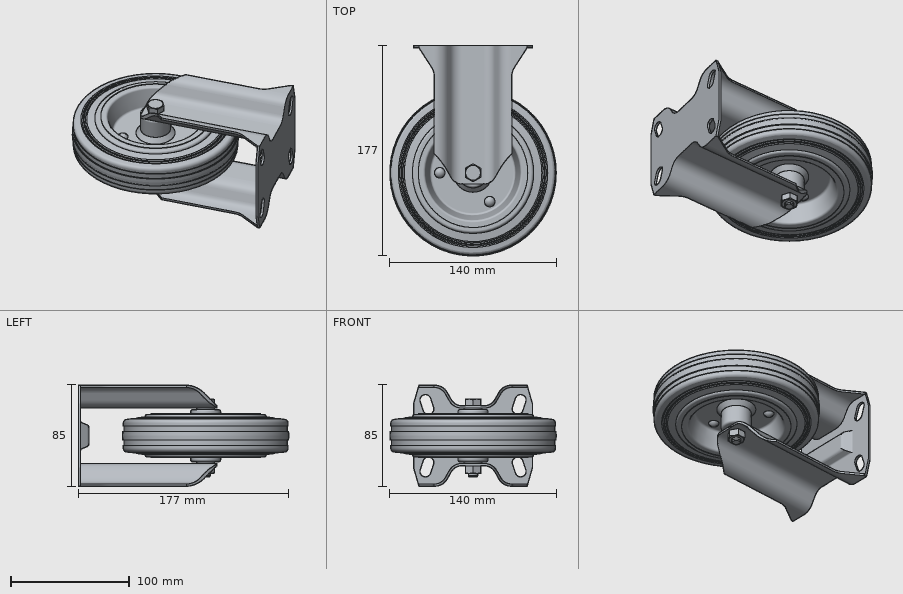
import cadquery as cq
import math


bracket_height = 85.0
sheet = 2.0
plate_width = 100.0
plate_back_y = 107.0
plate_front_y = plate_back_y - sheet
plate_top_half_width = 45.5
plate_corner_z = 27.0

bend_angle = 60.0
inner_bend_radius = 10.0
outer_bend_radius = inner_bend_radius + sheet
web_half_width = 9.5
bend_slope_run = 3.6
bend_slope_rise = bend_slope_run * math.tan(math.radians(bend_angle))

bend_sin = math.sin(math.radians(bend_angle))
bend_drop = 1 - math.cos(math.radians(bend_angle))
leg_outer_z = bracket_height / 2
leg_web_outer_z = leg_outer_z - (inner_bend_radius + outer_bend_radius) * bend_drop - bend_slope_rise
leg_web_inner_z = leg_web_outer_z - sheet

leg_half_width = 32.6
leg_end_y = -9.4
leg_corner_y = 16.0
leg_end_arc_middle = (26.7, 9.3)
flare_end_y = 85.0
flare_radius = 15.0

slot_width = 9.0
slot_outer_center = (40.0, 30.0)
slot_inner_center = (37.5, 22.5)

rib_base = (60.2, 22.8)
rib_top = (49.6, 17.2)
rib_height = 7.0
rib_edge_radius = 3.0
rib_foot_radius = 1.5
foot_margin = 0.1

bolt_diameter = 8.0
bolt_hole_diameter = 8.2
bolt_tip_diameter = 6.65
bolt_tip_length = 1.0
bolt_end_z = -34.6
hex_sides = 6
hex_across_flats = 13.0
hex_chamfer_diameter = 12.5
hex_chamfer_angle = 30.0
head_height = 5.6
nut_height = 6.5

rim_diameter = 92.0
rim_half_width = 18.5
bowl_floor_z = 1.0
bowl_floor_radius = 35.6
bowl_mouth_radius = 40.4
bowl_edge_radius = 2.0
hub_diameter = 25.4
hub_half_length = 22.0
hub_edge_radius = 2.0
hub_cone_base_radius = 16.4
hub_cone_top_z = 5.4
sleeve_diameter = 15.0

rivet_count = 3
rivet_circle_radius = 28.0
rivet_first_angle = 60.0
rivet_radius = 4.4
rivet_height = 3.0

tyre_radius = 70.0
tread_rib_edge_radius = 69.8
tread_rib_half_width = 3.5
tread_groove_radius = 68.8
tread_groove_end_z = 8.3
shoulder_radius = 69.3
shoulder_start_z = 10.6
shoulder_arc_middle = (68.6, 12.6)
sidewall_outer = (67.1, 13.7)
sidewall_inner = (51.0, 15.9)
bead_half_width = 18.0
bead_edge_start_radius = 48.7
side_groove_starts = (57.8, 60.6)
side_groove_width = 2.2
side_groove_depth = 0.5


def trace_bend(profile, offset, start_x, end_x):
    """Continue a profile along the leg surface that lies offset below the outer one, from -X to +X."""
    convex = outer_bend_radius - offset
    concave = inner_bend_radius + offset
    top_z = leg_outer_z - offset
    web_z = leg_web_outer_z - offset
    concave_end_x = web_half_width + inner_bend_radius * bend_sin
    convex_center_x = concave_end_x + bend_slope_run + outer_bend_radius * bend_sin
    half = math.radians(bend_angle / 2)
    full = math.radians(bend_angle)

    def on_convex(angle):
        return convex_center_x - convex * math.sin(angle), top_z - convex * (1 - math.cos(angle))

    def on_concave(angle):
        return web_half_width + concave * math.sin(angle), web_z + concave * (1 - math.cos(angle))

    def left(point):
        return -point[0], point[1]

    profile = profile.lineTo(start_x, top_z).lineTo(-convex_center_x, top_z)
    profile = profile.threePointArc(left(on_convex(half)), left(on_convex(full)))
    profile = profile.lineTo(*left(on_concave(full)))
    profile = profile.threePointArc(left(on_concave(half)), (-web_half_width, web_z))
    profile = profile.lineTo(web_half_width, web_z)
    profile = profile.threePointArc(on_concave(half), on_concave(full))
    profile = profile.lineTo(*on_convex(full))
    profile = profile.threePointArc(on_convex(half), (convex_center_x, top_z))
    return profile.lineTo(end_x, top_z)


def make_leg_outline():
    """Solid over the flat outline of a leg, used to trim the corrugated sheet."""
    bend_end_x = web_half_width + inner_bend_radius * bend_sin
    bend_end_y = leg_end_y + inner_bend_radius * bend_drop
    half = math.radians(bend_angle / 2)
    bend_middle = (
        web_half_width + inner_bend_radius * math.sin(half),
        leg_end_y + inner_bend_radius * (1 - math.cos(half)),
    )
    slope_end = (bend_end_x + bend_slope_run, bend_end_y + bend_slope_rise)
    right_half = (
        cq.Workplane("XY")
        .moveTo(0, leg_end_y)
        .lineTo(web_half_width, leg_end_y)
        .threePointArc(bend_middle, (bend_end_x, bend_end_y))
        .lineTo(*slope_end)
        .threePointArc(leg_end_arc_middle, (leg_half_width, leg_corner_y))
        .lineTo(leg_half_width, flare_end_y)
        .lineTo(plate_top_half_width, plate_front_y)
        .lineTo(plate_top_half_width, plate_back_y)
        .lineTo(0, plate_back_y)
        .close()
        .extrude(bracket_height)
    )
    flare_corner = cq.selectors.NearestToPointSelector((leg_half_width, flare_end_y, leg_outer_z))
    right_half = right_half.edges("|Z").edges(flare_corner).fillet(flare_radius)
    return right_half.union(right_half.mirror("YZ"))


def make_fill_under_surface(offset):
    """Solid between the axle plane and a leg surface lying a distance below the outer surface."""
    reach = plate_top_half_width
    profile = cq.Workplane("XZ", origin=(0, plate_back_y, 0)).moveTo(-reach, 0)
    profile = trace_bend(profile, offset, -reach, reach).lineTo(reach, 0).close()
    return profile.extrude(plate_back_y - leg_end_y)


def make_leg():
    """Upper leg: corrugated sheet trimmed to its outline."""
    corrugated_sheet = make_fill_under_surface(0).cut(make_fill_under_surface(sheet))
    return corrugated_sheet.intersect(make_leg_outline())


def make_plate():
    """Mounting plate whose upper and lower edges follow the legs, with four slanted slots."""
    reach = plate_top_half_width
    profile = cq.Workplane("XZ", origin=(0, plate_back_y, 0)).moveTo(-plate_width / 2, 0)
    profile = profile.lineTo(-plate_width / 2, plate_corner_z)
    profile = trace_bend(profile, 0, -reach, reach)
    profile = profile.lineTo(plate_width / 2, plate_corner_z).lineTo(plate_width / 2, 0).close()
    upper = profile.extrude(sheet)
    plate = upper.union(upper.mirror("XY"))

    run = slot_outer_center[0] - slot_inner_center[0]
    rise = slot_outer_center[1] - slot_inner_center[1]
    slot_length = math.hypot(run, rise) + slot_width
    slot_angle = math.degrees(math.atan2(rise, run))
    slot_x = (slot_outer_center[0] + slot_inner_center[0]) / 2
    slot_z = (slot_outer_center[1] + slot_inner_center[1]) / 2
    for side_x in (-1, 1):
        for side_z in (-1, 1):
            slot = (
                cq.Workplane("XZ", origin=(0, plate_back_y, 0))
                .center(side_x * slot_x, side_z * slot_z)
                .slot2D(slot_length, slot_width, side_x * side_z * slot_angle)
                .extrude(sheet)
            )
            plate = plate.cut(slot)
    return plate


def add_stiffening_rib(plate):
    """Add a rib with sloping sides and a rounded foot on the wheel side of the plate."""
    rib = (
        cq.Workplane("XZ", origin=(0, plate_front_y, 0))
        .rect(*rib_base)
        .workplane(offset=rib_height)
        .rect(*rib_top)
        .loft(combine=True)
        .faces("<Y")
        .edges()
        .fillet(rib_edge_radius)
    )
    half_x = rib_base[0] / 2 + foot_margin
    half_z = rib_base[1] / 2 + foot_margin
    foot_region = cq.selectors.BoxSelector(
        (-half_x, plate_front_y - foot_margin, -half_z),
        (half_x, plate_front_y + foot_margin, half_z),
    )
    return plate.union(rib).edges(foot_region).fillet(rib_foot_radius)


def make_bracket():
    leg = make_leg()
    plate = add_stiffening_rib(make_plate())
    bracket = plate.union(leg).union(leg.mirror("XY"))
    bolt_hole = cq.Workplane("XY").circle(bolt_hole_diameter / 2).extrude(leg_outer_z, both=True)
    return bracket.cut(bolt_hole)


def make_hexagon(height):
    """Hexagon standing on z = 0 with corners on the Y axis and a chamfered top."""
    half_sector = 180 / hex_sides
    across_corners = hex_across_flats / math.cos(math.radians(half_sector))
    hexagon = cq.Workplane("XY").polygon(hex_sides, across_corners).extrude(height)
    hexagon = hexagon.rotate((0, 0, 0), (0, 0, 1), half_sector)
    corner_radius = across_corners / 2
    chamfer_radius = hex_chamfer_diameter / 2
    drop = (corner_radius - chamfer_radius) * math.tan(math.radians(hex_chamfer_angle))
    envelope = (
        cq.Workplane("XZ")
        .polyline([
            (0, 0),
            (corner_radius, 0),
            (corner_radius, height - drop),
            (chamfer_radius, height),
            (0, height),
        ])
        .close()
        .revolve(360, (0, 0), (0, 1))
    )
    return hexagon.intersect(envelope)


def make_bolt():
    """Hexagon-head bolt with a tapered tip, its head on the upper leg."""
    head = make_hexagon(head_height).translate((0, 0, leg_web_outer_z))
    tip_taper = (bolt_diameter - bolt_tip_diameter) / 2
    shank = (
        cq.Workplane("XY", origin=(0, 0, bolt_end_z))
        .circle(bolt_diameter / 2)
        .extrude(leg_web_outer_z - bolt_end_z)
        .faces("<Z")
        .chamfer(bolt_tip_length, tip_taper)
    )
    return head.union(shank)


def make_nut():
    """Hexagon nut under the lower leg."""
    bore = cq.Workplane("XY").circle(bolt_diameter / 2).extrude(nut_height)
    nut = make_hexagon(nut_height).cut(bore)
    return nut.mirror("XY").translate((0, 0, -leg_web_outer_z))


def make_rivet_head():
    """Domed rivet head standing on the upper bowl floor at the wheel axis."""
    sphere_radius = (rivet_radius**2 + rivet_height**2) / (2 * rivet_height)
    sphere_center_z = bowl_floor_z + rivet_height - sphere_radius
    sphere = cq.Workplane("XY").sphere(sphere_radius).translate((0, 0, sphere_center_z))
    above_web = cq.Workplane("XY").circle(rivet_radius).extrude(bowl_floor_z + rivet_height)
    return sphere.intersect(above_web)


def make_wheel_center():
    """Dished wheel centre with hub and axle sleeve, built as the upper half and mirrored."""
    disc = cq.Workplane("XY").circle(rim_diameter / 2).extrude(rim_half_width)
    bowl = (
        cq.Workplane("XZ")
        .polyline([
            (0, bowl_floor_z),
            (bowl_floor_radius, bowl_floor_z),
            (bowl_mouth_radius, rim_half_width),
            (0, rim_half_width),
        ])
        .close()
        .revolve(360, (0, 0), (0, 1))
        .faces("<Z")
        .edges()
        .fillet(bowl_edge_radius)
    )
    mouth_edge = cq.selectors.RadiusNthSelector(0)
    half = disc.cut(bowl).faces(">Z").edges(mouth_edge).fillet(bowl_edge_radius)

    hub = (
        cq.Workplane("XY")
        .circle(hub_diameter / 2)
        .extrude(hub_half_length)
        .faces(">Z")
        .edges()
        .fillet(hub_edge_radius)
    )
    cone = (
        cq.Workplane("XZ")
        .polyline([
            (0, 0),
            (hub_cone_base_radius, 0),
            (hub_cone_base_radius, bowl_floor_z),
            (hub_diameter / 2, hub_cone_top_z),
            (0, hub_cone_top_z),
        ])
        .close()
        .revolve(360, (0, 0), (0, 1))
    )
    sleeve = cq.Workplane("XY").circle(sleeve_diameter / 2).extrude(leg_web_inner_z)
    half = half.union(cone).union(hub).union(sleeve)

    for index in range(rivet_count):
        angle = math.radians(rivet_first_angle + index * 360 / rivet_count)
        place = (rivet_circle_radius * math.cos(angle), rivet_circle_radius * math.sin(angle), 0)
        half = half.union(make_rivet_head().translate(place))

    bore = cq.Workplane("XY").circle(bolt_hole_diameter / 2).extrude(leg_web_inner_z, both=True)
    return half.union(half.mirror("XY")).cut(bore)


def sidewall_z(radius):
    """Height of the sloping tyre sidewall at a radius."""
    slope = (sidewall_outer[1] - sidewall_inner[1]) / (sidewall_outer[0] - sidewall_inner[0])
    return sidewall_inner[1] + slope * (radius - sidewall_inner[0])


def make_tyre():
    """Ribbed tyre around the wheel centre, built as the upper half and mirrored."""
    bead_edge_run = sidewall_inner[0] - bead_edge_start_radius
    bead_edge_drop = bead_half_width - sidewall_inner[1]
    bead_edge_middle = (
        bead_edge_start_radius + bead_edge_run * math.sin(math.pi / 4),
        sidewall_inner[1] + bead_edge_drop * math.cos(math.pi / 4),
    )
    profile = (
        cq.Workplane("XZ")
        .moveTo(rim_diameter / 2, 0)
        .lineTo(rim_diameter / 2, bead_half_width)
        .lineTo(bead_edge_start_radius, bead_half_width)
        .threePointArc(bead_edge_middle, sidewall_inner)
    )
    for start in side_groove_starts:
        middle = start + side_groove_width / 2
        end = start + side_groove_width
        profile = (
            profile.lineTo(start, sidewall_z(start))
            .lineTo(middle, sidewall_z(middle) - side_groove_depth)
            .lineTo(end, sidewall_z(end))
        )
    half = (
        profile.lineTo(*sidewall_outer)
        .threePointArc(shoulder_arc_middle, (shoulder_radius, shoulder_start_z))
        .lineTo(shoulder_radius, tread_groove_end_z)
        .lineTo(tread_groove_radius, tread_groove_end_z)
        .lineTo(tread_groove_radius, tread_rib_half_width)
        .lineTo(tread_rib_edge_radius, tread_rib_half_width)
        .lineTo(tyre_radius, 0)
        .close()
        .revolve(360, (0, 0), (0, 1))
    )
    return half.union(half.mirror("XY"))


bracket = make_bracket()
wheel_center = make_wheel_center()
tyre = make_tyre()
bolt = make_bolt()
nut = make_nut()

result = cq.Compound.makeCompound([bracket.val(), wheel_center.val(), tyre.val(), bolt.val(), nut.val()])